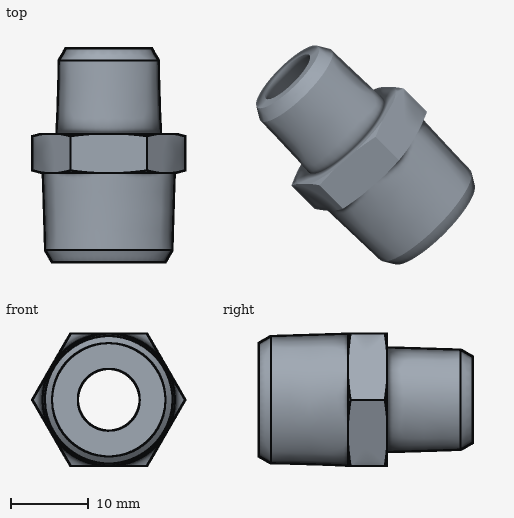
import cadquery as cq
import math


ACROSS_FLATS = 17.0
HEX_LENGTH = 5.0
HEX_CHAMFER_DIAMETER = 17.4
HEX_CHAMFER_ANGLE = 15.0

TAPER = 1 / 16
LARGE_LENGTH = 11.5
LARGE_GAUGE_DIAMETER = 16.662
LARGE_GAUGE_LENGTH = 6.4
SMALL_LENGTH = 11.0
SMALL_GAUGE_DIAMETER = 13.157
SMALL_GAUGE_LENGTH = 6.0
LEAD_IN_LENGTH = 1.58
LEAD_IN_ANGLE = 30.0

BORE_DIAMETER = 7.89

ACROSS_CORNERS = ACROSS_FLATS / math.cos(math.radians(30))


def revolve_about_y(points):
    """Turn a closed (radius, y) outline, drawn in the ZY plane, about the Y axis."""
    return cq.Workplane("ZY").polyline(points).close().revolve(360, (0, 0, 0), (0, 1, 0))


def tapered_end(base_y, direction, length, gauge_diameter, gauge_length):
    """Conical stub with a lead-in chamfer, from base_y along +Y or -Y (direction = +1 or -1)."""
    taper_length = length - LEAD_IN_LENGTH
    base_radius = (gauge_diameter + (length - gauge_length) * TAPER) / 2
    tip_radius = base_radius - taper_length * TAPER / 2
    face_radius = tip_radius - LEAD_IN_LENGTH * math.tan(math.radians(LEAD_IN_ANGLE))
    return revolve_about_y([
        (0, base_y),
        (base_radius, base_y),
        (tip_radius, base_y + direction * taper_length),
        (face_radius, base_y + direction * length),
        (0, base_y + direction * length),
    ])


def chamfered_hexagon():
    """Hexagon with flats facing +Z and -Z, its corners cut by a cone at both ends."""
    hexagon = (
        cq.Workplane("XZ")
        .polygon(6, ACROSS_CORNERS)
        .extrude(-HEX_LENGTH)
    )
    face_radius = HEX_CHAMFER_DIAMETER / 2
    corner_radius = ACROSS_CORNERS / 2
    chamfer_depth = (corner_radius - face_radius) * math.tan(math.radians(HEX_CHAMFER_ANGLE))
    envelope = revolve_about_y([
        (0, 0),
        (face_radius, 0),
        (corner_radius, chamfer_depth),
        (corner_radius, HEX_LENGTH - chamfer_depth),
        (face_radius, HEX_LENGTH),
        (0, HEX_LENGTH),
    ])
    return hexagon.intersect(envelope)


def bore():
    """Straight hole through the full length."""
    total_length = LARGE_LENGTH + HEX_LENGTH + SMALL_LENGTH
    return (
        cq.Workplane("XZ", origin=(0, -LARGE_LENGTH, 0))
        .circle(BORE_DIAMETER / 2)
        .extrude(-total_length)
    )


large_end = tapered_end(0, -1, LARGE_LENGTH, LARGE_GAUGE_DIAMETER, LARGE_GAUGE_LENGTH)
small_end = tapered_end(HEX_LENGTH, 1, SMALL_LENGTH, SMALL_GAUGE_DIAMETER, SMALL_GAUGE_LENGTH)
result = chamfered_hexagon().union(large_end).union(small_end).cut(bore())